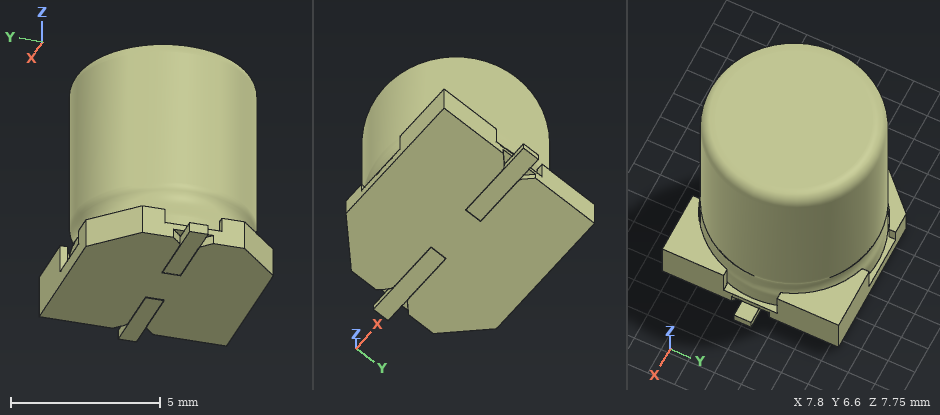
import cadquery as cq
import math


can_radius = 6.3 / 2
can_top_z = 7.75
can_top_fillet = 0.5

neck_center_z = 1.62
neck_angle = math.radians(30)
groove_radius = 0.75
shoulder_radius = 0.5

base_width = 6.6
base_bottom_z = 0.03
floor_z = 0.55
low_corner_z = 1.05
high_corner_z = 1.55
corner_chamfer = 1.5
channel_half_width = 1.0
bore_clearance = 0.05
bore_radius = can_radius + bore_clearance

lead_span = 7.8
lead_width = 0.65
lead_height = 0.34
lead_inner_x = 0.9

mouth_half_width = 0.71
mouth_round_radius = 0.3

half_base = base_width / 2
half_lead = lead_width / 2


def box(x_range, y_range, z_range):
    """Axis-aligned box given by its limits along X, Y and Z."""
    size = [high - low for low, high in (x_range, y_range, z_range)]
    corner = (x_range[0], y_range[0], z_range[0])
    return cq.Workplane("XY").box(*size, centered=False).translate(corner)


def make_can():
    """Revolve the half profile of the can, starting on the base floor."""
    arc_sum = groove_radius + shoulder_radius
    half_height = arc_sum * math.sin(neck_angle)
    depth = arc_sum * (1 - math.cos(neck_angle))
    lower_z = neck_center_z - half_height
    upper_z = neck_center_z + half_height
    groove_bottom = (can_radius - depth, neck_center_z)

    mid_rise = shoulder_radius * math.sin(neck_angle / 2)
    mid_r = can_radius - shoulder_radius * (1 - math.cos(neck_angle / 2))
    end_rise = shoulder_radius * math.sin(neck_angle)
    end_r = can_radius - shoulder_radius * (1 - math.cos(neck_angle))

    profile = (
        cq.Workplane("XZ")
        .moveTo(0, floor_z)
        .lineTo(can_radius, floor_z)
        .lineTo(can_radius, lower_z)
        .threePointArc((mid_r, lower_z + mid_rise), (end_r, lower_z + end_rise))
        .threePointArc(groove_bottom, (end_r, upper_z - end_rise))
        .threePointArc((mid_r, upper_z - mid_rise), (can_radius, upper_z))
        .lineTo(can_radius, can_top_z)
        .lineTo(0, can_top_z)
        .close()
    )
    can = profile.revolve(360, (0, 0, 0), (0, 1, 0))
    return can.faces(">Z").edges().fillet(can_top_fillet)


def make_base():
    """Base plate with four corner posts around the can; the -X corners are chamfered."""
    full_y = (-half_base, half_base)
    base = box((-half_base, half_base), full_y, (base_bottom_z, floor_z))
    posts = box((-half_base, -channel_half_width), full_y, (floor_z, low_corner_z))
    posts = posts.union(box((channel_half_width, half_base), full_y, (floor_z, high_corner_z)))
    channel = box(
        (-half_base, half_base), (-channel_half_width, channel_half_width), (floor_z, high_corner_z)
    )
    bore = cq.Workplane("XY").workplane(offset=floor_z).circle(bore_radius).extrude(high_corner_z - floor_z)
    base = base.union(posts.cut(channel).cut(bore))

    for side in (-1, 1):
        corner = (
            cq.Workplane("XY")
            .moveTo(-half_base, side * half_base)
            .lineTo(-half_base + corner_chamfer, side * half_base)
            .lineTo(-half_base, side * (half_base - corner_chamfer))
            .close()
            .extrude(high_corner_z)
        )
        base = base.cut(corner)
    return base


def make_lead_slot():
    """Slot under the base on the +X side: as wide as the lead, with a 45 degree rounded mouth."""
    mouth_depth = mouth_half_width - half_lead
    throat_x = half_base - mouth_depth
    slot = (
        cq.Workplane("XY")
        .moveTo(lead_inner_x, -half_lead)
        .lineTo(throat_x, -half_lead)
        .lineTo(half_base, -mouth_half_width)
        .lineTo(half_base, mouth_half_width)
        .lineTo(throat_x, half_lead)
        .lineTo(lead_inner_x, half_lead)
        .close()
        .extrude(lead_height)
    )
    throat_edges = cq.selectors.BoxSelector(
        (throat_x - mouth_depth / 2, -half_base, 0),
        (throat_x + mouth_depth / 2, half_base, lead_height),
    )
    return slot.edges("|Z").edges(throat_edges).fillet(mouth_round_radius)


def make_lead():
    """Flat lead on the +X side."""
    return box((lead_inner_x, lead_span / 2), (-half_lead, half_lead), (0, lead_height))


def on_both_ends(shape):
    """The +X shape together with its mirror image on the -X side."""
    return shape.union(shape.mirror("YZ"))


result = (
    make_base()
    .cut(on_both_ends(make_lead_slot()))
    .union(make_can())
    .union(on_both_ends(make_lead()))
)